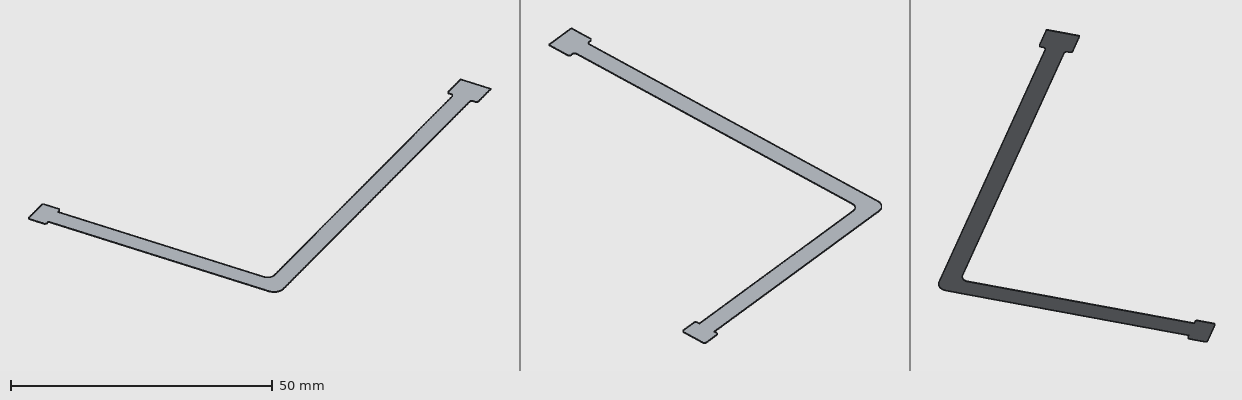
import cadquery as cq

size_x = 55.8
size_y = 81.8
thickness = 0.2

arm_width = 3.8
long_pad_width = 6.6
long_pad_length = 5.2
short_pad_width = 5.7
short_pad_length = 3.9

pad_corner_radius = 0.4
long_neck_radius = 0.6
bend_inner_radius = 1.5
bend_outer_radius = 2.05

left = -size_x / 2
right = size_x / 2
bottom = -size_y / 2
top = size_y / 2

long_arm_x = right - long_pad_width / 2
short_arm_y = bottom + short_pad_width / 2
arm_left = long_arm_x - arm_width / 2
arm_right = long_arm_x + arm_width / 2
arm_bottom = short_arm_y - arm_width / 2
arm_top = short_arm_y + arm_width / 2
long_pad_bottom = top - long_pad_length


def plate(x_min, x_max, y_min, y_max):
    """Flat rectangular plate centred on Z = 0."""
    return (
        cq.Workplane("XY")
        .box(x_max - x_min, y_max - y_min, thickness)
        .translate(((x_min + x_max) / 2, (y_min + y_max) / 2, 0))
    )


def round_corner(body, x, y, radius):
    """Round the vertical edge that passes through (x, y)."""
    return body.edges(cq.selectors.NearestToPointSelector((x, y, 0))).fillet(radius)


long_arm = plate(arm_left, arm_right, arm_bottom, top)
short_arm = plate(left, arm_right, arm_bottom, arm_top)
long_pad = plate(right - long_pad_width, right, long_pad_bottom, top)
short_pad = plate(left, left + short_pad_length, bottom, bottom + short_pad_width)
short_pad = short_pad.edges("|Z").fillet(pad_corner_radius)
long_pad = long_pad.edges("|Z and <Y").fillet(pad_corner_radius)
result = long_arm.union(short_arm).union(long_pad).union(short_pad)

result = round_corner(result, arm_left, arm_top, bend_inner_radius)
result = round_corner(result, arm_right, arm_bottom, bend_outer_radius)

for neck_x in (arm_left, arm_right):
    result = round_corner(result, neck_x, long_pad_bottom, long_neck_radius)